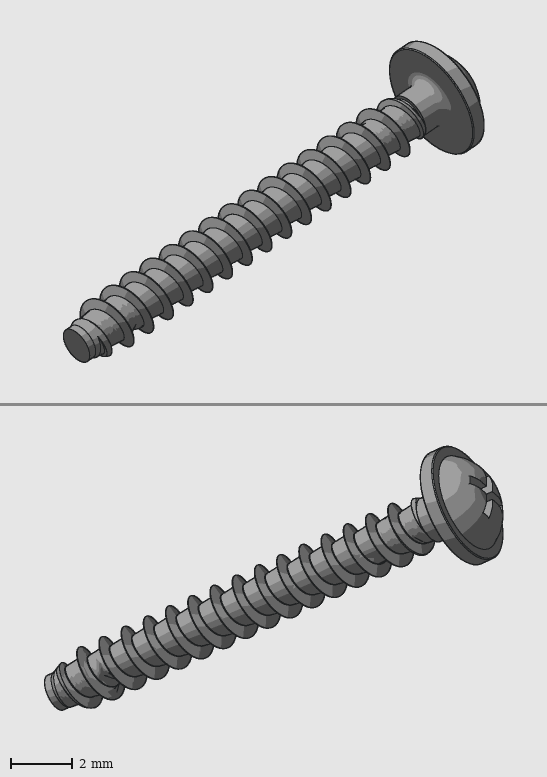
import cadquery as cq
import math


total_length = 17.37
flange_diameter = 4
flange_edge_chamfer = 0.03
flange_top = 0.85
flange_bottom = 1.37
dome_radius = 1.63
dome_flat_radius = 0.55
dome_base_radius = 1.65

recess_span = 1.8
recess_width = 0.33
recess_depth = 0.7

neck_radius = 0.78
neck_fillet = 0.31
neck_end = 2.36

crest_radius = 1.02
core_radius = 0.63
root_radius = 0.71
crest_width = 0.026
tooth_base_width = 0.28
first_crest_depth = 3.32
last_crest_depth = 15.77
full_turns = 14
lead_turns = 2
root_end_radius = 0.65
turn_gap = 0.02
ridge_overlap = 0.05

run_in_radius = 0.8
run_in_end = 3.65
envelope_radius = 1.13
run_out_start = 15.98
run_out_end = 17.34
run_out_radius = 0.52

flange_radius = flange_diameter / 2
pitch = (last_crest_depth - first_crest_depth) / full_turns
buried_radius = core_radius - ridge_overlap


def head_and_core():
    """Dome, flange, filleted neck and plain core, revolved about the screw axis."""
    fillet_offset = neck_fillet * (1 - math.sqrt(0.5))
    profile = (
        cq.Workplane("XZ")
        .lineTo(dome_flat_radius, 0)
        .radiusArc((dome_base_radius, flange_top), -dome_radius)
        .lineTo(flange_radius - flange_edge_chamfer, flange_top)
        .lineTo(flange_radius, flange_top + flange_edge_chamfer)
        .lineTo(flange_radius, flange_bottom - flange_edge_chamfer)
        .lineTo(flange_radius - flange_edge_chamfer, flange_bottom)
        .lineTo(neck_radius + neck_fillet, flange_bottom)
        .threePointArc(
            (neck_radius + fillet_offset, flange_bottom + fillet_offset),
            (neck_radius, flange_bottom + neck_fillet),
        )
        .lineTo(neck_radius, neck_end)
        .lineTo(core_radius, neck_end)
        .lineTo(core_radius, total_length)
        .lineTo(0, total_length)
        .close()
    )
    return profile.revolve(360, (0, 0, 0), (0, 1, 0))


def cross_recess():
    """Two crossed bars sunk into the crown."""
    bar = cq.Workplane("XY").box(recess_span, recess_width, recess_depth, centered=(True, True, False))
    return bar.union(bar.rotate((0, 0, 0), (0, 0, 1), 90))


def thread_ridge():
    """Helical tooth whose root slopes down to the core before the next turn."""
    start = first_crest_depth - lead_turns * pitch
    height = total_length + pitch - start
    half_base = tooth_base_width / 2
    half_crest = crest_width / 2
    next_turn = pitch - half_base - turn_gap
    section = (
        cq.Workplane("XZ")
        .polyline([
            (buried_radius, -half_base),
            (crest_radius, -half_crest),
            (crest_radius, half_crest),
            (root_radius, half_base),
            (root_end_radius, next_turn),
            (buried_radius, next_turn),
        ])
        .close()
    )
    helix = cq.Workplane(obj=cq.Wire.makeHelix(pitch, height, core_radius))
    ridge = section.sweep(helix, isFrenet=True)
    return ridge.translate((0, 0, start))


def thread_envelope():
    """Space that the thread may fill, tapered at the neck and at the tip."""
    return (
        cq.Workplane("XZ")
        .moveTo(0, neck_end)
        .lineTo(run_in_radius, neck_end)
        .lineTo(envelope_radius, run_in_end)
        .lineTo(envelope_radius, run_out_start)
        .lineTo(run_out_radius, run_out_end)
        .lineTo(0, run_out_end)
        .close()
        .revolve(360, (0, 0, 0), (0, 1, 0))
    )


thread = thread_ridge().intersect(thread_envelope())
screw = head_and_core().cut(cross_recess()).union(thread)

result = screw.rotate((0, 0, 0), (1, 0, 0), 90)